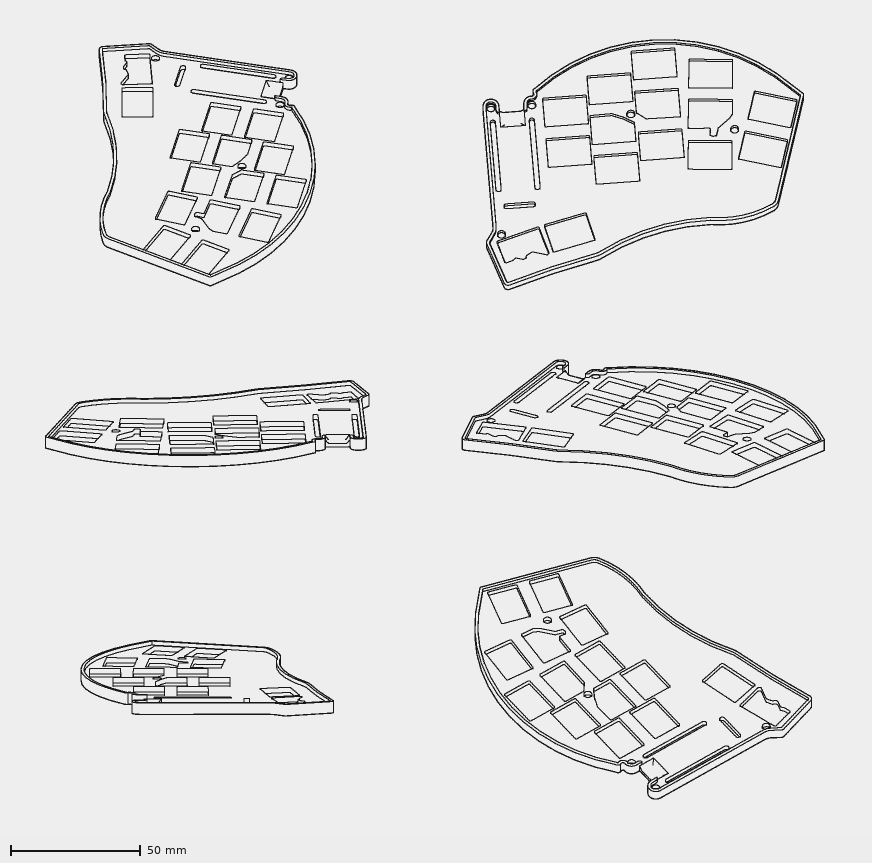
import cadquery as cq
import math

thickness = 4.6
half_length = 60.2
rim_width = 1.2
rim_height = 1.6
floor_z = thickness - rim_height

pocket_depth = 2.0

tilt = 17.0
bottom_row_tilt = 12.0
thumb_tilt = 30.0

lobe_radius = 3.1
lobe_spacing = 15.9
upper_lobe = (14.0, 57.1)

port_half_width = lobe_spacing / 2 - lobe_radius
port_edge_inset = 1.6
port_length = 6.7
port_wall_run = 1.3
port_depth = 1.6
port_floor_fillet = 0.6

key_width = 12.0
key_length = 17.0
pocket_corner_radius = 0.5
key_places = [
    ((19.0, 28.5), tilt),
    ((2.8, 23.6), tilt),
    ((31.8, 13.7), tilt),
    ((-0.1, 4.0), tilt),
    ((45.7, -0.7), tilt),
    ((13.2, -10.7), tilt),
    ((46.4, -23.0), bottom_row_tilt),
    ((13.1, -30.1), bottom_row_tilt),
    ((37.0, -49.6), 0),
    ((19.9, -49.6), 0),
    ((-30.2, 16.0), thumb_tilt),
]

notched_thumb_key = [
    (-40.0, 42.9), (-30.5, 28.3), (-40.2, 22.0), (-41.3, 22.4), (-41.3, 28.4), (-43.4, 30.4),
    (-44.6, 30.4), (-45.2, 31.2), (-45.2, 34.2), (-46.4, 34.9), (-48.2, 37.6),
]
bulged_key = [(7.5, 15.4), (19.2, 18.9), (21.8, 10.8), (21.3, 6.0), (20.1, 1.5), (12.5, -0.8)]
clipped_key = [(24.2, 1.6), (32.9, 4.2), (37.7, -12.0), (26.3, -15.5), (22.5, -2.6)]
hooked_key = [
    (22.2, -19.4), (34.2, -16.9), (37.7, -33.6), (32.0, -34.9), (29.9, -34.2),
    (24.7, -30.7), (21.6, -30.7), (21.0, -29.6), (21.2, -28.3), (24.1, -27.8),
]

slot_width = 2.0
long_slot = 30.0
short_slot = 12.3
slot_places = [
    ((-5.2, 51.0), long_slot, tilt),
    ((-1.1, 36.4), long_slot, tilt),
    ((-23.4, 37.5), short_slot, tilt - 90),
]


def shifted(point, along, across, angle=tilt):
    """Point moved along a direction and then square to it, to its left."""
    c = math.cos(math.radians(angle))
    s = math.sin(math.radians(angle))
    return (point[0] + along * c - across * s, point[1] + along * s + across * c)


lower_lobe = shifted(upper_lobe, 0, -lobe_spacing)
port_mouth = shifted(upper_lobe, -port_edge_inset, -lobe_spacing / 2)

hole_diameter = 3.1
hole_centers = [upper_lobe, lower_lobe, (-36.7, 41.7), (23.2, 3.6), (25.7, -37.1)]

large_corner_diameter = 8.5
bottom_left = (-1.9, -half_length)
bottom_right = (45.3, -half_length)
left_knee = (-37.7, 2.5)
left_corner = (-58.3, 35.3)
left_peak = (-41.8, 46.7)
valley = (-36.1, 45.0)
rounded_corners = [
    (bottom_left, large_corner_diameter / 2),
    (bottom_right, 0.6),
    (left_knee, 8.4),
    (left_corner, 1.7),
    (left_peak, 1.5),
    (valley, large_corner_diameter / 2),
]


def make_plate():
    """Solid plate, drawn clockwise from its bottom left corner."""
    lobe_diagonal = lobe_radius * math.sqrt(0.5)
    plate = (
        cq.Workplane()
        .moveTo(*bottom_left)
        .threePointArc((-9.6, -50.1), (-14.1, -36.4))
        .threePointArc((-23.6, -14.6), left_knee)
        .lineTo(-47.5, 19.0)
        .lineTo(*left_corner)
        .lineTo(*left_peak)
        .lineTo(*valley)
        .lineTo(*shifted(upper_lobe, 0, lobe_radius))
        .threePointArc(shifted(upper_lobe, lobe_radius, 0), shifted(upper_lobe, 0, -lobe_radius))
        .lineTo(*shifted(upper_lobe, -port_edge_inset, -lobe_radius))
        .lineTo(*shifted(lower_lobe, -port_edge_inset, lobe_radius))
        .lineTo(*shifted(lower_lobe, 0, lobe_radius))
        .threePointArc(
            shifted(lower_lobe, lobe_diagonal, lobe_diagonal),
            shifted(lower_lobe, lobe_radius, 0),
        )
        .threePointArc((22.2, 42.0), (23.2, 42.4))
        .threePointArc((24.2, 42.6), (25.2, 42.0))
        .threePointArc((57.6, -21.7), (51.3, -48.3))
        .lineTo(*bottom_right)
        .close()
        .extrude(thickness)
    )
    for (x, y), radius in rounded_corners:
        corner = cq.selectors.NearestToPointSelector((x, y, thickness / 2))
        plate = plate.edges("|Z").edges(corner).fillet(radius)
    return plate


def make_tray(plate):
    """Space above the floor and inside the rim, opened through the rim at the port."""
    outline = plate.faces("<Z").wires().val()
    inside = (
        cq.Workplane(obj=outline)
        .toPending()
        .offset2D(-rim_width)
        .extrude(rim_height)
        .translate((0, 0, floor_z))
    )
    opening = (
        cq.Workplane(origin=(*port_mouth, floor_z))
        .transformed(rotate=(0, 0, tilt))
        .rect(4 * rim_width, 2 * port_half_width)
        .extrude(rim_height)
    )
    return inside.union(opening)


def make_port():
    """Recess sloping in on three sides to a filleted floor; its outer half lies beyond the plate."""
    return (
        cq.Workplane(origin=(*port_mouth, floor_z))
        .transformed(rotate=(0, 0, tilt))
        .rect(2 * port_length, 2 * port_half_width)
        .workplane(offset=-port_depth)
        .rect(2 * (port_length - port_wall_run), 2 * (port_half_width - port_wall_run))
        .loft(ruled=True)
        .faces("<Z")
        .edges()
        .fillet(port_floor_fillet)
    )


def pocket_plane():
    return cq.Workplane(origin=(0, 0, floor_z - pocket_depth))


def make_pocket(corners):
    """Pocket with the given corner points, each slightly rounded."""
    return (
        pocket_plane()
        .polyline(corners)
        .close()
        .extrude(pocket_depth)
        .edges("|Z")
        .fillet(pocket_corner_radius)
    )


def make_key_pocket(center, angle):
    """Plain rectangular key pocket turned to the given direction."""
    x = key_width / 2
    y = key_length / 2
    corners = [(-x, -y), (x, -y), (x, y), (-x, y)]
    return make_pocket([shifted(center, along, across, angle) for along, across in corners])


def make_slot(center, length, angle):
    return pocket_plane().center(*center).slot2D(length, slot_width, angle).extrude(pocket_depth)


result = make_plate()
result = result.cut(make_tray(result))
for center, angle in key_places:
    result = result.cut(make_key_pocket(center, angle))
for corners in (notched_thumb_key, bulged_key, clipped_key, hooked_key):
    result = result.cut(make_pocket(corners))
for center, length, angle in slot_places:
    result = result.cut(make_slot(center, length, angle))
holes = pocket_plane().pushPoints(hole_centers).circle(hole_diameter / 2).extrude(pocket_depth)
result = result.cut(holes)
result = result.cut(make_port())